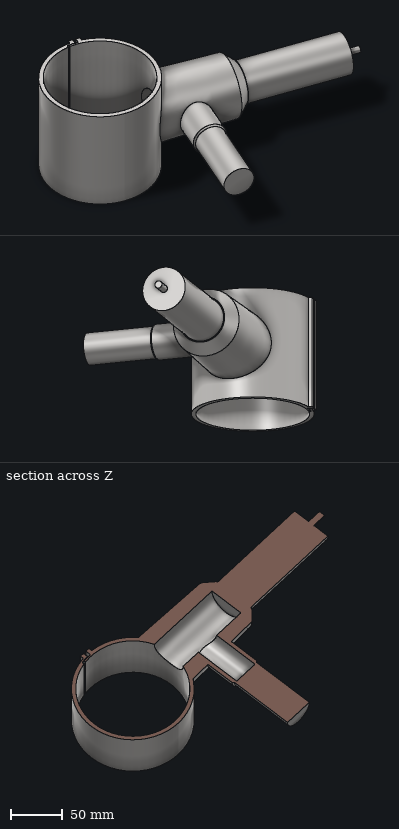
import cadquery as cq

overall_length = 332.0

ring_height = 110.0
ring_outer_radius = 59.5
ring_inner_radius = 54.8

lug_reach = 62.8
lug_half_width = 6.3
slit_half_width = 1.5
lap_radius = 57.0
lap_clearance = 0.3
tongue_end = -8.0
recess_end = -10.0

socket_base_y = 33.2
socket_base_radius = 36.2
socket_shoulder_radius = 33.5
socket_shoulder_y = 134.5
socket_end_radius = 23.0
socket_end_y = 146.0
tube_radius = 22.0
tube_end_y = 257.0
pin_radius = 3.5
pin_end_y = overall_length - ring_outer_radius
bore_radius = 18.5
bore_end_y = socket_shoulder_y

branch_y = 86.7
collar_radius = 17.5
collar_edge_x = 66.7
collar_end_x = 68.5
branch_radius = 16.0
branch_end_x = 137.0
branch_bore_radius = 13.0


def upright_cylinder(radius):
    return cq.Workplane("XY", origin=(0, 0, -ring_height / 2)).circle(radius).extrude(ring_height)


def upright_block(x_min, x_max, y_min, y_max):
    return (
        cq.Workplane("XY", origin=(0, 0, -ring_height / 2))
        .center((x_min + x_max) / 2, (y_min + y_max) / 2)
        .rect(x_max - x_min, y_max - y_min)
        .extrude(ring_height)
    )


def make_clamp_ring():
    """Ring with two lugs, a slit between them and a lap joint behind the slit."""
    lugs = upright_block(-lug_reach, -lap_radius, -lug_half_width, lug_half_width)
    ring = upright_cylinder(ring_outer_radius).union(lugs)
    ring = ring.cut(upright_cylinder(ring_inner_radius))

    slit = upright_block(-lug_reach, 0, -slit_half_width, slit_half_width)
    recess = upright_cylinder(lap_radius).intersect(
        upright_block(-lug_reach, 0, recess_end, slit_half_width)
    )

    tongue = (
        upright_cylinder(lap_radius - lap_clearance)
        .cut(upright_cylinder(ring_inner_radius))
        .intersect(upright_block(-lug_reach, 0, tongue_end, lug_half_width))
    )
    return ring.cut(slit).cut(recess).union(tongue)


def make_main_arm():
    """Revolved socket, tube and pin, starting inside the ring."""
    profile = [
        (0, socket_base_y),
        (socket_base_radius, socket_base_y),
        (socket_shoulder_radius, socket_shoulder_y),
        (socket_end_radius, socket_end_y),
        (tube_radius, socket_end_y),
        (tube_radius, tube_end_y),
        (pin_radius, tube_end_y),
        (pin_radius, pin_end_y),
        (0, pin_end_y),
    ]
    return cq.Workplane("XY").polyline(profile).close().revolve(360, (0, 0), (0, 1))


def make_branch():
    """Collar with a bevelled rim and the smaller tube leaving it, both round about X."""
    profile = [
        (0, 0),
        (0, collar_radius),
        (collar_edge_x, collar_radius),
        (collar_end_x, branch_radius),
        (branch_end_x, branch_radius),
        (branch_end_x, 0),
    ]
    branch = cq.Workplane("XY").polyline(profile).close().revolve(360, (0, 0), (1, 0))
    return branch.translate((0, branch_y, 0))


arms = make_main_arm().union(make_branch())
arms = arms.cut(upright_cylinder(lap_radius))

bore = cq.Workplane("XZ").circle(bore_radius).extrude(-bore_end_y)
branch_bore = (
    cq.Workplane("YZ").center(branch_y, 0).circle(branch_bore_radius).extrude(collar_end_x)
)
result = make_clamp_ring().union(arms).cut(bore).cut(branch_bore)